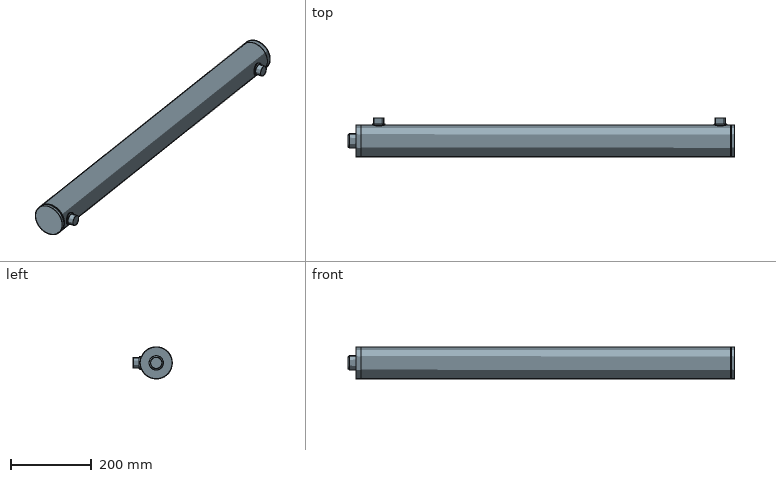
import cadquery as cq

total_length = 960.0
barrel_diameter = 80.0

rod_diameter = 36.0
rod_protrusion = 20.0
rod_chamfer = 4.0

gland_thickness = 12.0
cap_thickness = 8.0
cap_weld_width = 3.0

port_diameter = 26.0
port_height = 17.0
front_port_x = 77.0
rear_port_x = 924.0

port_weld_height = 39.0
port_weld_bead = 6.0

barrel_radius = barrel_diameter / 2
port_radius = port_diameter / 2
port_top = barrel_radius + port_height
tube_start = rod_protrusion + gland_thickness
cap_start = total_length - cap_thickness
cap_weld_start = cap_start - cap_weld_width
port_positions = (front_port_x, rear_port_x)


def axial_cylinder(start, end, diameter):
    """Solid cylinder on the main axis between two X positions."""
    return cq.Workplane("YZ", origin=(start, 0, 0)).circle(diameter / 2).extrude(end - start)


def make_rod():
    """Piston rod end, chamfered at its free face."""
    rod = axial_cylinder(0, rod_protrusion, rod_diameter)
    return rod.faces("<X").chamfer(rod_chamfer)


def port_cylinder(x):
    """Solid cylinder from the main axis out to the port face, before it is fitted to the barrel."""
    return cq.Workplane("XZ", origin=(x, 0, 0)).circle(port_radius).extrude(-port_top)


def make_port(x):
    """Port boss pointing to +Y, its foot fitted to the barrel."""
    return port_cylinder(x).cut(axial_cylinder(rod_protrusion, total_length, barrel_diameter))


def make_port_weld(x):
    """Round weld bead around the foot of a port, fitted to the port and the barrel."""
    bead = cq.Workplane(
        cq.Solid.makeTorus(
            port_radius, port_weld_bead / 2, cq.Vector(x, port_weld_height, 0), cq.Vector(0, 1, 0)
        )
    )
    bead = bead.cut(port_cylinder(x))
    return bead.cut(axial_cylinder(rod_protrusion, total_length, barrel_diameter))


rod = make_rod()
gland = axial_cylinder(rod_protrusion, tube_start, barrel_diameter)
tube = axial_cylinder(tube_start, cap_weld_start, barrel_diameter)
cap_weld = axial_cylinder(cap_weld_start, cap_start, barrel_diameter)
cap = axial_cylinder(cap_start, total_length, barrel_diameter)

ports = []
port_welds = []
for port_x in port_positions:
    ports.append(make_port(port_x).val())
    port_welds.append(make_port_weld(port_x).val())

result = cq.Compound.makeCompound(
    [rod.val(), gland.val(), tube.val(), cap_weld.val(), cap.val(), *ports, *port_welds]
)